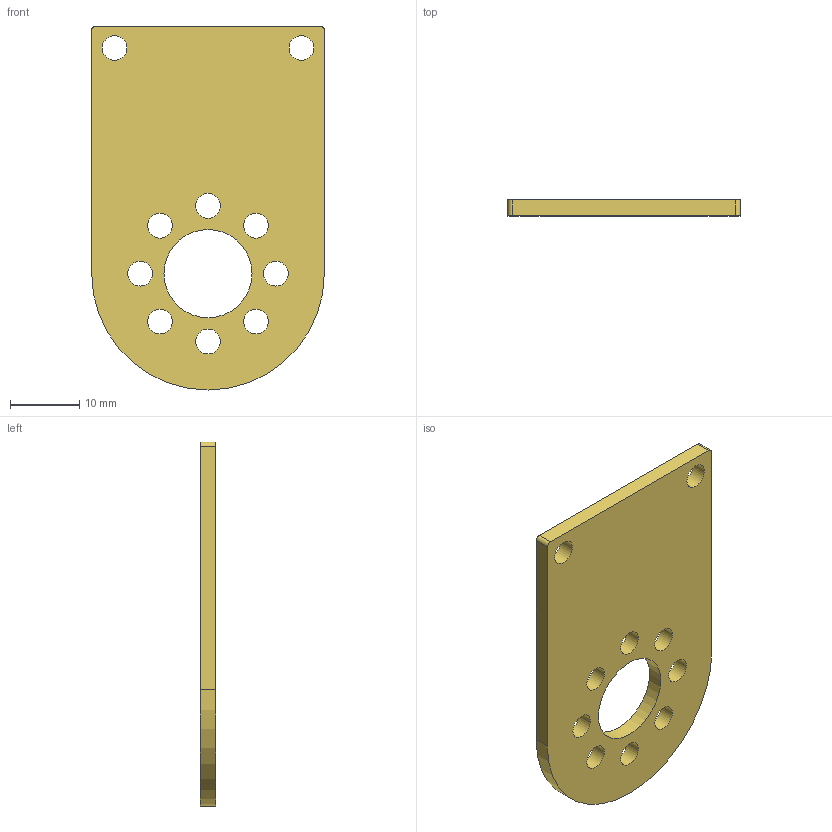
import cadquery as cq

width = 33.53
height = 52.46
thickness = 2.29
corner_radius = 0.635
end_radius = width / 2
top_z = height - end_radius

bore_diameter = 12.7
hole_diameter = 3.57
ring_radius = 9.78
ring_hole_count = 8

mount_spacing = 26.92
mount_top_offset = 3.175


def make_plate():
    plate = (
        cq.Workplane("XZ")
        .moveTo(-end_radius, 0)
        .lineTo(-end_radius, top_z)
        .lineTo(end_radius, top_z)
        .lineTo(end_radius, 0)
        .threePointArc((0, -end_radius), (-end_radius, 0))
        .close()
        .extrude(thickness)
    )
    top_corners = plate.faces(">Z").edges("|Y")
    return top_corners.fillet(corner_radius)


def make_hole_cutters():
    bore = cq.Workplane("XZ").circle(bore_diameter / 2).extrude(thickness)
    ring = (
        cq.Workplane("XZ")
        .polarArray(ring_radius, 0, 360, ring_hole_count)
        .circle(hole_diameter / 2)
        .extrude(thickness)
    )
    mount_z = top_z - mount_top_offset
    mount_points = [(side * mount_spacing / 2, mount_z) for side in (-1, 1)]
    mounts = (
        cq.Workplane("XZ")
        .pushPoints(mount_points)
        .circle(hole_diameter / 2)
        .extrude(thickness)
    )
    return [bore, ring, mounts]


result = make_plate()
for cutter in make_hole_cutters():
    result = result.cut(cutter)